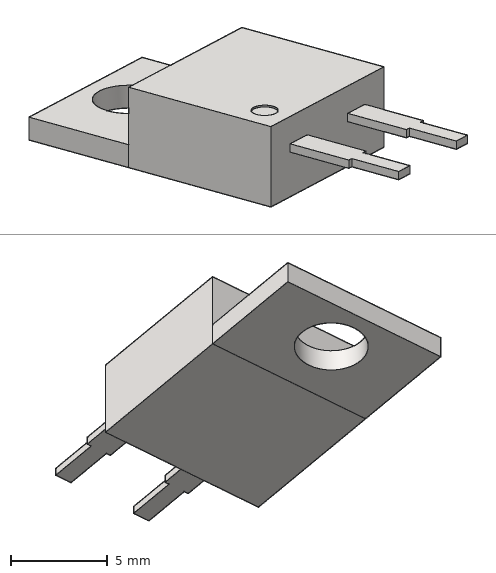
import cadquery as cq

total_length = 22.2
width = 10.0
body_height = 4.5

tab_length = 6.37
tab_thickness = 1.29
hole_diameter = 3.82
hole_from_end = 2.8

body_length = 9.08
body_end_x = tab_length + body_length

lead_pitch = 5.08
lead_wide_length = 3.75
lead_wide_width = 1.5
lead_narrow_width = 1.0
lead_thickness = 0.47
lead_bottom_z = 2.5
lead_length = total_length - body_end_x

mark_diameter = 1.4
mark_depth = 0.1
mark_from_lead_end = 1.55
mark_y = -3.4


def box_from(x, z, length, depth, height):
    """Box centred on Y = 0 that starts at the given X and Z."""
    return cq.Workplane("XY").box(length, depth, height, centered=(False, True, False)).translate((x, 0, z))


def make_tab():
    """Flat mounting tab with a screw hole."""
    hole = (
        cq.Workplane("XY")
        .center(hole_from_end, 0)
        .circle(hole_diameter / 2)
        .extrude(tab_thickness)
    )
    return box_from(0, 0, tab_length, width, tab_thickness).cut(hole)


def make_body():
    """Moulded block with the polarity mark sunk into its top."""
    mark = (
        cq.Workplane("XY", origin=(body_end_x - mark_from_lead_end, mark_y, body_height))
        .circle(mark_diameter / 2)
        .extrude(-mark_depth)
    )
    return box_from(tab_length, 0, body_length, width, body_height).cut(mark)


def make_lead(y):
    """Flat lead that starts at the body face and steps down to a narrow tip."""
    root = box_from(body_end_x, lead_bottom_z, lead_wide_length, lead_wide_width, lead_thickness)
    blade = box_from(body_end_x, lead_bottom_z, lead_length, lead_narrow_width, lead_thickness)
    return root.union(blade).clean().translate((0, y, 0))


tab = make_tab()
body = make_body()
leads = [make_lead(side * lead_pitch / 2) for side in (-1, 1)]

result = cq.Compound.makeCompound([tab.val(), body.val(), *[lead.val() for lead in leads]])